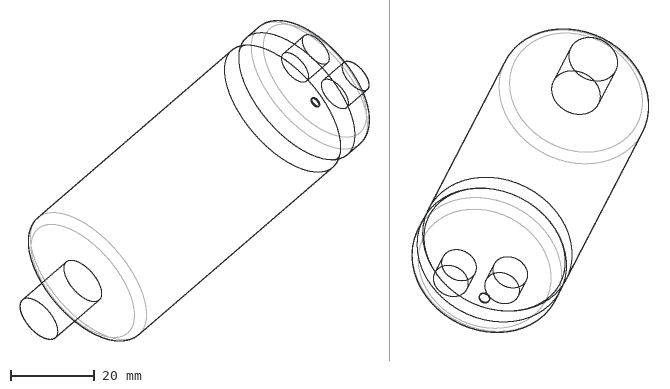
import cadquery as cq

overall_length = 107.6
can_radius = 18.5
edge_radius = 2.0

stud_radius = 6.0
stud_length = 15.9

terminal_radius = 4.3
terminal_length = 7.5
terminal_offset = 6.3

can_length = overall_length - stud_length - terminal_length

groove_width = 5.2
groove_depth = 0.9
lip_length = 6.6
groove_end = can_length - lip_length
groove_start = groove_end - groove_width
groove_middle = groove_start + groove_width / 2

vent_radius = 1.3
vent_height = 0.3
vent_drop = 8.1


def rod_along_y(radius, start, length, x=0.0, z=0.0):
    """Round rod pointing towards +Y, from Y = start."""
    axis_start = cq.Vector(x, start, z)
    return cq.Workplane(cq.Solid.makeCylinder(radius, length, axis_start, cq.Vector(0, 1, 0)))


def make_can():
    """Body of revolution with the crimp groove and rounded end edges."""
    half_profile = (
        cq.Workplane("XY")
        .moveTo(0, 0)
        .lineTo(can_radius, 0)
        .lineTo(can_radius, groove_start)
        .threePointArc((can_radius - groove_depth, groove_middle), (can_radius, groove_end))
        .lineTo(can_radius, can_length)
        .lineTo(0, can_length)
        .close()
    )
    can = half_profile.revolve(360, (0, 0, 0), (0, 1, 0))
    return can.faces("<Y or >Y").edges().fillet(edge_radius)


result = make_can()
result = result.union(rod_along_y(stud_radius, -stud_length, stud_length))
for side in (-1, 1):
    result = result.union(
        rod_along_y(terminal_radius, can_length, terminal_length, x=side * terminal_offset)
    )
result = result.union(rod_along_y(vent_radius, can_length, vent_height, z=-vent_drop))